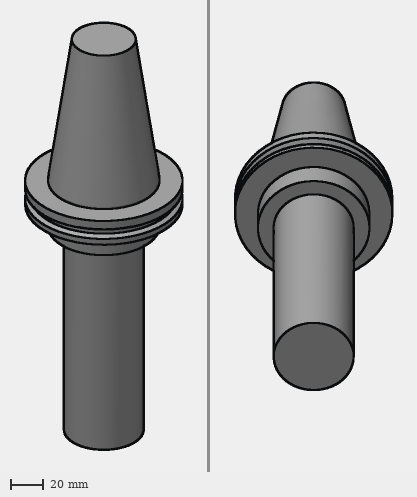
import cadquery as cq

shank_diameter = 50.0
collar_diameter = 69.7
flange_diameter = 98.5
groove_floor_diameter = 91.4

total_length = 284.5
taper_length = 101.5
neck_length = 1.5
flange_thickness = 17.5
collar_length = 16.2

rim_above_groove = 6.3
groove_wall_height = 1.7
groove_floor_width = 3.5

taper_ratio = 7 / 24
taper_tip_diameter = collar_diameter - taper_ratio * taper_length

taper_base_z = total_length - taper_length
flange_top_z = taper_base_z - neck_length
flange_bottom_z = flange_top_z - flange_thickness
shank_top_z = flange_bottom_z - collar_length


def cylinder(diameter, bottom_z, top_z):
    """Upright cylinder on the part axis."""
    return cq.Workplane("XY").workplane(offset=bottom_z).circle(diameter / 2).extrude(top_z - bottom_z)


def tool_taper():
    """Solid cone standing on the neck."""
    return (
        cq.Workplane("XY")
        .workplane(offset=taper_base_z)
        .circle(collar_diameter / 2)
        .workplane(offset=taper_length)
        .circle(taper_tip_diameter / 2)
        .loft(ruled=True)
    )


def grooved_flange():
    """Flange with a trapezoidal groove round its rim."""
    rim_radius = flange_diameter / 2
    floor_radius = groove_floor_diameter / 2
    groove_top_z = flange_top_z - rim_above_groove
    floor_top_z = groove_top_z - groove_wall_height
    floor_bottom_z = floor_top_z - groove_floor_width
    groove_bottom_z = floor_bottom_z - groove_wall_height
    profile = [
        (0, flange_bottom_z),
        (rim_radius, flange_bottom_z),
        (rim_radius, groove_bottom_z),
        (floor_radius, floor_bottom_z),
        (floor_radius, floor_top_z),
        (rim_radius, groove_top_z),
        (rim_radius, flange_top_z),
        (0, flange_top_z),
    ]
    return cq.Workplane("XZ").polyline(profile).close().revolve(360, (0, 0, 0), (0, 1, 0))


shank = cylinder(shank_diameter, 0, shank_top_z)
collar = cylinder(collar_diameter, shank_top_z, flange_bottom_z)
neck = cylinder(collar_diameter, flange_top_z, taper_base_z)

result = shank.union(collar).union(grooved_flange()).union(neck).union(tool_taper())